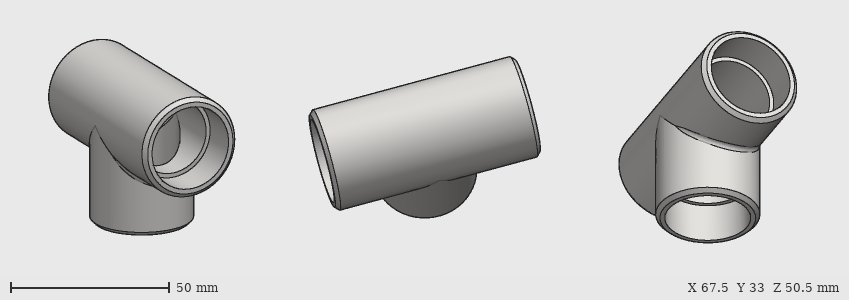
import cadquery as cq
import math

run_length = 67.5
outer_diameter = 33.0
socket_diameter = 27.2
bore_diameter = 24.4
socket_depth = 12.8
overall_height = 50.5
end_chamfer = 1.35
junction_fillet = 1.6
fillet_end_angle = 80
fillet_section_count = 7
fillet_overlap = 0.015

outer_radius = outer_diameter / 2
run_reach = run_length / 2
branch_reach = overall_height - outer_radius

arms = [
    (cq.Vector(1, 0, 0), run_reach),
    (cq.Vector(-1, 0, 0), run_reach),
    (cq.Vector(0, 0, -1), branch_reach),
]


def arm_cylinder(diameter, direction, start, end):
    """Cylinder along an arm, between two distances from the origin."""
    return cq.Workplane(
        cq.Solid.makeCylinder(diameter / 2, end - start, direction * start, direction)
    )


def fillet_section(angle):
    """Section across the junction at one angle around the pipes, from -90 to 90 degrees.

    The pipe walls meet in a square corner at each level along Y. Corner and
    fillet shrink together with the cosine, down to nothing at 90 degrees.
    """
    shrink = math.cos(math.radians(angle))
    level = outer_radius * math.sin(math.radians(angle))
    sunk_wall = outer_radius - fillet_overlap
    tangent = outer_radius + junction_fillet
    arc_middle = tangent - junction_fillet * math.sqrt(0.5)
    root = outer_radius - junction_fillet

    def point(x, depth):
        return cq.Vector(x * shrink, level, -depth * shrink)

    run_end = point(tangent, sunk_wall)
    branch_end = point(sunk_wall, tangent)
    arc = cq.Edge.makeThreePointArc(run_end, point(arc_middle, arc_middle), branch_end)
    branch_side = cq.Edge.makeLine(branch_end, point(root, root))
    run_side = cq.Edge.makeLine(point(root, root), run_end)
    return cq.Wire.assembleEdges([arc, branch_side, run_side])


def junction_fillet_strip():
    """Concave fillet along the +X half of the run-to-branch junction."""
    step = 2 * fillet_end_angle / (fillet_section_count - 1)
    sections = [fillet_section(-fillet_end_angle + i * step) for i in range(fillet_section_count)]
    return cq.Workplane(cq.Solid.makeLoft(sections))


def outer_body():
    """Solid run and branch with chamfered ends and a filleted junction."""
    run = cq.Workplane("YZ").workplane(offset=-run_reach).circle(outer_radius).extrude(run_length)
    run = run.faces("<X or >X").chamfer(end_chamfer)
    branch = cq.Workplane("XY").circle(outer_radius).extrude(-branch_reach)
    branch = branch.faces("<Z").chamfer(end_chamfer)
    strip = junction_fillet_strip()
    return run.union(branch).union(strip).union(strip.mirror("YZ"))


result = outer_body()
for direction, reach in arms:
    bore = arm_cylinder(bore_diameter, direction, 0, reach)
    socket = arm_cylinder(socket_diameter, direction, reach - socket_depth, reach)
    result = result.cut(bore).cut(socket)